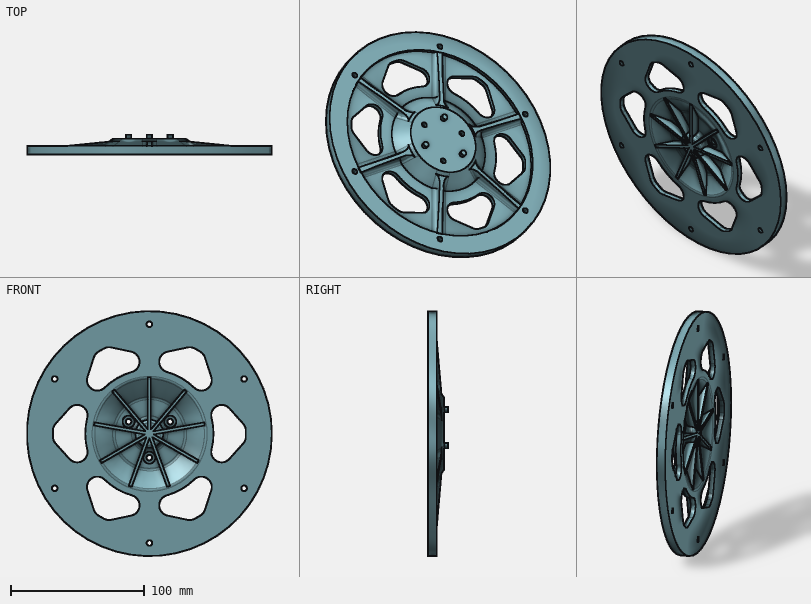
import cadquery as cq
import math

tolerance = 0.02

disc_radius = 92.0
rim_thickness = 6.6
rim_inner_radius = 77.3
web_thickness = 3.9
core_radius = rim_inner_radius + 1.8
hole_diameter = 4.0
rim_hole_circle_radius = 82.0
rim_hole_angles = range(30, 390, 60)

cup_mouth_radius = 42.1
cup_floor_radius = 26.9
cup_floor_y = 6.6
cup_inner_fillet = 5.0
cup_back_y = 12.1
cup_back_radius = 27.0
cup_outer_slope = 35.0

boss_radius = 21.0 / 2
boss_face_radius = 16.5 / 2
boss_edge_fillet = boss_radius - boss_face_radius
boss_root_fillet = 3.1

fixing_circle_radius = 18.0
counterbore_diameter = 9.0
counterbore_depth = 1.1
pin_diameter = 4.2
pin_end_y = 15.0
screw_angles = [30, 150, 270]
pin_angles = [90, 210, 330]

slot_inner_radius = 48.2
slot_outer_radius = 72.3
slot_corner_radius = 7.7
slot_edge_distance = 57.2
slot_edge_angle = 42.0
slot_angles = range(0, 360, 60)

rib_width = 3.3
rib_rim_level_radius = 70.8
rib_slope = 5.0
rib_root_fillet = 4.0
rib_bar_angles = [30, 90, 150]

arm_count = 9
arm_width = 2.4
first_arm_angle = 90


def polar(radius, angle):
    """Point at a radius and an angle in degrees."""
    return (radius * math.cos(math.radians(angle)), radius * math.sin(math.radians(angle)))


def shifted(point, radius, angle):
    """Point moved by a radius in the direction of an angle in degrees."""
    dx, dy = polar(radius, angle)
    return (point[0] + dx, point[1] + dy)


def front_plane(y):
    """Workplane parallel to the front face at height y; extrude by a negative length to go to +Y."""
    return cq.Workplane("XZ", origin=(0, y, 0))


def cylinders(points, diameter, start_y, end_y):
    return front_plane(start_y).pushPoints(points).circle(diameter / 2).extrude(start_y - end_y)


def revolved(points):
    """Solid of revolution about the Y axis from (radius, y) points."""
    return cq.Workplane("XY").polyline(points).close().revolve(360, (0, 0, 0), (0, 1, 0))


def cup_outer_radius(y):
    """Radius of the conical outside of the cup at height y."""
    return cup_back_radius + (cup_back_y - y) / math.tan(math.radians(cup_outer_slope))


def rib_top_y(radius):
    return rim_thickness + (rib_rim_level_radius - radius) * math.tan(math.radians(rib_slope))


def make_ribbed_core():
    """Web and solid cup carrying full-height rear ribs with their root fillets."""
    core = revolved([
        (0, 0),
        (disc_radius, 0),
        (disc_radius, web_thickness),
        (cup_outer_radius(web_thickness), web_thickness),
        (cup_back_radius, cup_back_y),
        (0, cup_back_y),
    ])
    for angle in rib_bar_angles:
        bar = cq.Workplane("XY").box(
            2 * disc_radius, cup_back_y, rib_width, centered=(True, False, True)
        )
        core = core.union(bar.rotate((0, 0, 0), (0, 1, 0), -angle))
    core = core.intersect(front_plane(0).circle(core_radius).extrude(-cup_back_y))
    return core.edges().filter(is_rib_root_edge).fillet(rib_root_fillet)


def is_rib_root_edge(edge):
    """True where a rib side meets the web or the cone of the cup."""
    start, end = edge.startPoint(), edge.endPoint()
    level_with_web = max(abs(start.y - web_thickness), abs(end.y - web_thickness)) < tolerance
    return edge.geomType() == "HYPERBOLA" or (level_with_web and edge.geomType() == "LINE")


def make_rib_envelope():
    """Space under the sloping rib tops and the cup outside."""
    cup_slope = math.tan(math.radians(cup_outer_slope))
    top_slope = math.tan(math.radians(rib_slope))
    axis_gap = cup_back_y + cup_back_radius * cup_slope - rib_top_y(0)
    rib_start_radius = axis_gap / (cup_slope - top_slope)
    return revolved([
        (0, 0),
        (core_radius, 0),
        (core_radius, rib_top_y(core_radius)),
        (rib_start_radius, rib_top_y(rib_start_radius)),
        (cup_back_radius, cup_back_y),
        (0, cup_back_y),
    ])


def circle_edges(body, radius, y):
    """Circular edges of a given radius about the Y axis at height y."""
    return body.edges("%CIRCLE").filter(
        lambda edge: abs(edge.radius() - radius) < tolerance
        and (edge.arcCenter() - cq.Vector(0, y, 0)).Length < tolerance
    )


def make_dish():
    """Disc with its cup, rear ribs and rim, before the boss, pins and openings."""
    dish = make_ribbed_core().intersect(make_rib_envelope())
    rim = front_plane(0).circle(disc_radius).circle(rim_inner_radius).extrude(-rim_thickness)
    cavity = revolved([
        (0, 0),
        (cup_mouth_radius, 0),
        (cup_floor_radius, cup_floor_y),
        (0, cup_floor_y),
    ])
    dish = dish.union(rim).cut(cavity)
    dish = circle_edges(dish, cup_floor_radius, cup_floor_y).fillet(cup_inner_fillet)
    return circle_edges(dish, cup_mouth_radius, 0).fillet(cup_inner_fillet)


def make_boss():
    boss_root_radius = boss_radius + boss_root_fillet
    root_y = cup_floor_y - boss_root_fillet
    diagonal = math.sqrt(0.5)
    root_mid = (
        boss_root_radius - boss_root_fillet * diagonal,
        root_y + boss_root_fillet * diagonal,
    )
    edge_mid = (
        boss_face_radius + boss_edge_fillet * diagonal,
        boss_edge_fillet * (1 - diagonal),
    )
    return (
        cq.Workplane("XY")
        .moveTo(0, 0)
        .lineTo(boss_face_radius, 0)
        .threePointArc(edge_mid, (boss_radius, boss_edge_fillet))
        .lineTo(boss_radius, root_y)
        .threePointArc(root_mid, (boss_root_radius, cup_floor_y))
        .lineTo(0, cup_floor_y)
        .close()
        .revolve(360, (0, 0, 0), (0, 1, 0))
    )


def make_slot(angle):
    """Through slot: two concentric arcs joined by slanted edges, all four corners rounded."""
    lobe_distance = slot_inner_radius + slot_corner_radius
    tip_distance = slot_outer_radius - slot_corner_radius
    corner_offset = slot_edge_distance - slot_corner_radius
    lobe_angle = slot_edge_angle - math.degrees(math.acos(corner_offset / lobe_distance))
    tip_angle = slot_edge_angle - math.degrees(math.acos(corner_offset / tip_distance))
    lobe = polar(lobe_distance, lobe_angle)
    tip = polar(tip_distance, tip_angle)

    inner_end = polar(slot_inner_radius, lobe_angle)
    lobe_mid = shifted(lobe, slot_corner_radius, (lobe_angle + 180 + slot_edge_angle) / 2)
    lobe_end = shifted(lobe, slot_corner_radius, slot_edge_angle)
    tip_start = shifted(tip, slot_corner_radius, slot_edge_angle)
    tip_mid = shifted(tip, slot_corner_radius, (slot_edge_angle + tip_angle) / 2)
    outer_end = polar(slot_outer_radius, tip_angle)

    def mirrored(point):
        return (point[0], -point[1])

    slot = (
        front_plane(0)
        .moveTo(*inner_end)
        .threePointArc(lobe_mid, lobe_end)
        .lineTo(*tip_start)
        .threePointArc(tip_mid, outer_end)
        .threePointArc((slot_outer_radius, 0), mirrored(outer_end))
        .threePointArc(mirrored(tip_mid), mirrored(tip_start))
        .lineTo(*mirrored(lobe_end))
        .threePointArc(mirrored(lobe_mid), mirrored(inner_end))
        .threePointArc((slot_inner_radius, 0), inner_end)
        .close()
        .extrude(-rim_thickness)
    )
    return slot.rotate((0, 0, 0), (0, 1, 0), -angle)


def make_star(dish):
    """Arms from the axis to the cup mouth, trimmed underneath to the cup surface."""
    arm_end_y = web_thickness / 2
    star = None
    for i in range(arm_count):
        angle = first_arm_angle + i * 360 / arm_count
        arm = (
            cq.Workplane("XY")
            .polyline([
                (0, 0),
                (cup_mouth_radius, 0),
                (cup_mouth_radius, arm_end_y),
                (cup_floor_radius, cup_floor_y),
                (0, cup_floor_y),
            ])
            .close()
            .extrude(arm_width / 2, both=True)
            .rotate((0, 0, 0), (0, 1, 0), -angle)
        )
        star = arm if star is None else star.union(arm)
    return star.cut(dish)


def make_wheel(dish, star):
    wheel = dish.union(make_boss())
    pin_points = [polar(fixing_circle_radius, a) for a in pin_angles]
    wheel = wheel.union(cylinders(pin_points, pin_diameter, cup_floor_y, pin_end_y))

    for angle in slot_angles:
        wheel = wheel.cut(make_slot(angle))
    rim_points = [polar(rim_hole_circle_radius, a) for a in rim_hole_angles]
    wheel = wheel.cut(cylinders(rim_points, hole_diameter, 0, rim_thickness))

    screw_points = [polar(fixing_circle_radius, a) for a in screw_angles]
    wheel = wheel.cut(cylinders(screw_points, hole_diameter, 0, cup_back_y))
    counterbore_floor = cup_floor_y + counterbore_depth
    wheel = wheel.cut(cylinders(screw_points, counterbore_diameter, 0, counterbore_floor))
    return wheel.cut(star)


dish = make_dish()
star = make_star(dish)
wheel = make_wheel(dish, star)

result = cq.Compound.makeCompound([*wheel.solids().vals(), *star.solids().vals()])